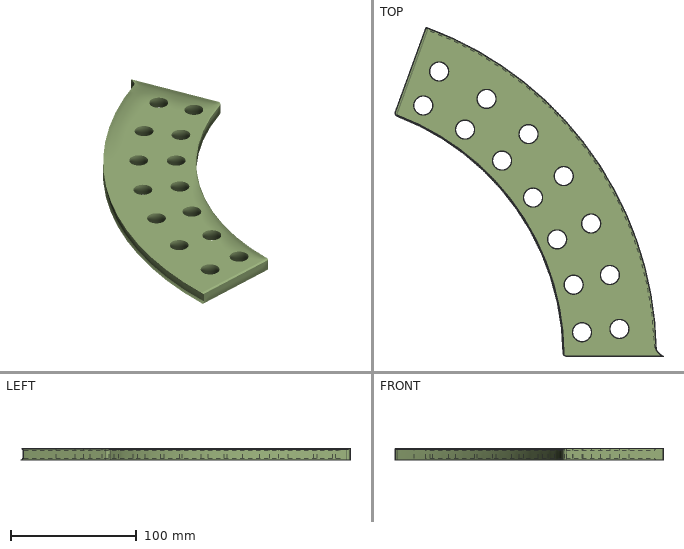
import cadquery as cq
import math

thickness = 9.5
sweep = 70
inner_radius = 204
outer_radius = 276.9
corner_radius = 3.0

flare_reach = 7.0
flare_rise = 10.5
flare_middle_reach = 2.5
flare_middle_rise = 3.5

wall_bevel_width = 0.92
wall_bevel_height = 0.85
end_bevel_width = 1.8
end_bevel_height = 0.47

top_lip_width = 1.3
bottom_lip_width = 1.5
lip_height = 1.5

hole_diameter = 15.0
hole_row_radii = (220.0, 250.0)
holes_per_row = 7
first_hole_angle = 5
hole_pitch_angle = 10

overlap = 2.5


def polar(radius, angle):
    radians = math.radians(angle)
    return (radius * math.cos(radians), radius * math.sin(radians))


def swept_ring(profile):
    """Turn a closed (radius, height) profile about Z through the sweep angle."""
    return cq.Workplane("XZ").polyline(profile).close().revolve(sweep, (0, 0), (0, 1))


def sector():
    """Plate with its two inner corners rounded."""
    plate = swept_ring(
        [
            (inner_radius, 0),
            (outer_radius, 0),
            (outer_radius, thickness),
            (inner_radius, thickness),
        ]
    )
    for angle in (0, sweep):
        x, y = polar(inner_radius, angle)
        corner = cq.selectors.NearestToPointSelector((x, y, thickness / 2))
        plate = plate.edges(corner).fillet(corner_radius)
    return plate


def flare():
    """Full-height hollow-sided wedge pointing outwards along the start end."""
    wall_x = math.sqrt(outer_radius**2 - flare_rise**2)
    return (
        cq.Workplane("XY")
        .moveTo(outer_radius - overlap, 0)
        .lineTo(outer_radius + flare_reach, 0)
        .threePointArc((outer_radius + flare_middle_reach, flare_middle_rise), (wall_x, flare_rise))
        .lineTo(outer_radius - overlap, flare_rise)
        .close()
        .extrude(thickness)
    )


def lip(width, face_height, root_height):
    """Lip flush with one face, tapering back to the outer wall at root_height."""
    return swept_ring(
        [
            (outer_radius - overlap, face_height),
            (outer_radius + width, face_height),
            (outer_radius, root_height),
            (outer_radius - overlap, root_height),
        ]
    )


def wall_bevel():
    """Cutter for the inner wall's top edge and the rounded corners beside it."""
    return swept_ring(
        [
            (inner_radius - wall_bevel_width, thickness),
            (inner_radius + wall_bevel_width, thickness),
            (inner_radius - wall_bevel_width, thickness - 2 * wall_bevel_height),
        ]
    )


def end_bevel():
    """Cutter for the top edge of the far end, running along its full length."""
    out_x, out_y = polar(1, sweep)
    end_plane = cq.Plane(origin=(0, 0, thickness), xDir=(-out_y, out_x, 0), normal=(out_x, out_y, 0))
    return (
        cq.Workplane(end_plane)
        .polyline(
            [
                (-end_bevel_width, 0),
                (end_bevel_width, 0),
                (end_bevel_width, -2 * end_bevel_height),
            ]
        )
        .close()
        .extrude(outer_radius + top_lip_width + overlap)
    )


def holes():
    centres = [
        polar(radius, first_hole_angle + i * hole_pitch_angle)
        for radius in hole_row_radii
        for i in range(holes_per_row)
    ]
    return cq.Workplane("XY").pushPoints(centres).circle(hole_diameter / 2).extrude(thickness)


result = (
    sector()
    .union(flare())
    .union(lip(top_lip_width, thickness, thickness - lip_height))
    .union(lip(bottom_lip_width, 0, lip_height))
    .cut(wall_bevel())
    .cut(end_bevel())
    .cut(holes())
)